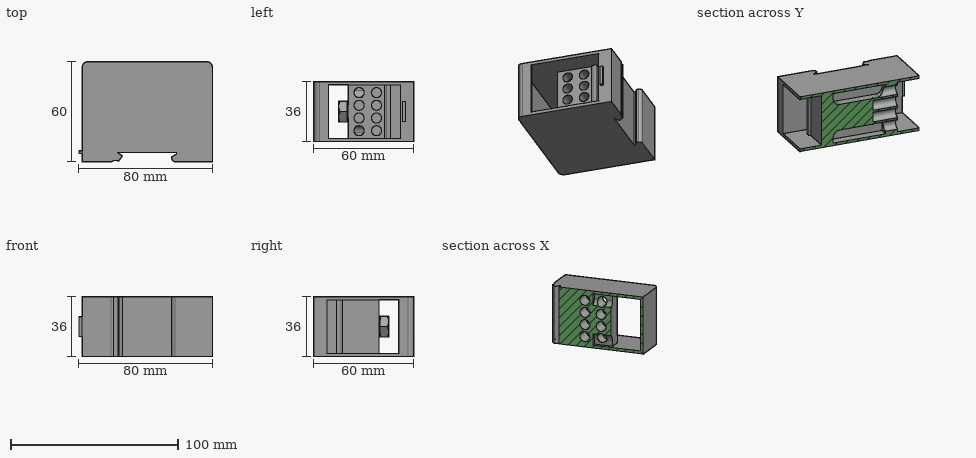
import cadquery as cq
import math


length, depth, height = 78.0, 60.0, 36.0
back_corner_radius = 3.5
end_x = length / 2

wall_z = 2.0
frame_thickness = 1.3
back_wall = 2.0
opening_bottom, opening_top = 8.1, 51.0
cavity_height = height - 2 * wall_z

recess_depth = 5.5
recess_start = -end_x + 21.1
recess_end = -end_x + 56.3
tooth_tip = (-end_x + 24.2, 3.4)
tooth_toe = (-end_x + 21.4, 0.2)
tooth_heel = (-end_x + 21.9, 0.6)
relief_start = -end_x + 17.4
relief_arc_run = 1.4
relief_height = 0.6
hook_x = -end_x + 53.6
hook_arc_run, hook_arc_rise = 1.9, 1.7
hook_top = 3.0
hook_neck = 4.6

tab_length, tab_thickness, tab_width = 2.0, 1.8, 12.0
tab_bottom = 4.9

block_length = 50.0
block_bottom, block_top = 17.4, 39.3
hole_diameter, hole_depth = 6.0, 16.0
flange_thickness = 8.0
hole_pitch, holes_per_row = 7.6, 4
hole_rows = (22.3, 32.7)
neck_width = 17.0
neck_fillet = 4.0
neck_bottom = sum(hole_rows) / 2
neck_length = block_length - 2 * flange_thickness

ledge_bottom = 13.8
ledge_overhang = 1.0
ledge_radius = 1.0
pedestal_inset = 2.0

bolt_across_flats, bolt_head_height = 12.6, 5.2
bolt_shank_diameter = 8.0
bolt_head_gap = 0.6
bolt_chamfer_inset = 0.2
bolt_chamfer_angle = math.radians(45)


def centred_box(size_x, bottom, top, size_z):
    """Box centred in X and Z, spanning bottom to top in Y."""
    return cq.Workplane("XY").box(size_x, top - bottom, size_z).translate((0, (bottom + top) / 2, 0))


def rounding_middle(flat_end, run, rise):
    """Middle of an arc that leaves Y = 0 tangentially at X = flat_end, going run along X and rise up."""
    sweep = 2 * math.atan(rise / abs(run))
    radius = abs(run) / math.sin(sweep)
    offset = math.copysign(radius * math.sin(sweep / 2), run)
    return flat_end + offset, radius * (1 - math.cos(sweep / 2))


def make_rail_recess():
    relief_flat_start = relief_start + relief_arc_run
    hook_flat_end = hook_x + hook_arc_run
    outline = (
        cq.Workplane("XY", origin=(0, 0, -height / 2))
        .moveTo(relief_start, 0)
        .threePointArc(
            rounding_middle(relief_start, relief_arc_run, relief_height),
            (relief_flat_start, relief_height),
        )
        .lineTo(tooth_toe[0], relief_height)
        .lineTo(*tooth_toe)
        .lineTo(*tooth_heel)
        .lineTo(*tooth_tip)
        .lineTo(recess_start, recess_depth)
        .lineTo(recess_end, recess_depth)
        .lineTo(recess_end, hook_neck)
        .lineTo(hook_x, hook_top)
        .lineTo(hook_x, hook_arc_rise)
        .threePointArc(
            rounding_middle(hook_flat_end, -hook_arc_run, hook_arc_rise),
            (hook_flat_end, 0),
        )
        .close()
    )
    return outline.extrude(height)


def make_housing():
    body = centred_box(length, 0, depth, height).edges("|Z and >Y").fillet(back_corner_radius)
    opening = centred_box(length, opening_bottom, opening_top, cavity_height)
    cavity = centred_box(length - 2 * frame_thickness, opening_bottom, depth - back_wall, cavity_height)
    tab = cq.Workplane("XY").box(tab_length, tab_thickness, tab_width)
    tab = tab.translate((-end_x - tab_length / 2, tab_bottom + tab_thickness / 2, 0))
    return body.cut(opening).cut(cavity).cut(make_rail_recess()).union(tab)


def make_block():
    block = centred_box(block_length, block_bottom, block_top, cavity_height)
    for side in (-1, 1):
        notch_outer, notch_inner = cavity_height / 2 + neck_fillet, neck_width / 2
        notch = centred_box(neck_length, neck_bottom, block_top, notch_outer - notch_inner)
        notch = notch.edges("|Y").fillet(neck_fillet)
        block = block.cut(notch.translate((0, 0, side * (notch_inner + notch_outer) / 2)))
    for row in hole_rows:
        for index in range(holes_per_row):
            z = (index - (holes_per_row - 1) / 2) * hole_pitch
            start = cq.Vector(-block_length / 2, row, z)
            drill = cq.Solid.makeCylinder(hole_diameter / 2, hole_depth, start, cq.Vector(1, 0, 0))
            block = block.cut(cq.Workplane(drill))
    return block


def make_pedestal():
    ledge_length = block_length + 2 * ledge_overhang
    ledge = centred_box(ledge_length, ledge_bottom, block_bottom, cavity_height)
    ledge = ledge.edges("|Z and >Y").fillet(ledge_radius)
    foot = centred_box(block_length - 2 * pedestal_inset, opening_bottom, ledge_bottom, cavity_height)
    return ledge.union(foot)


def make_bolt():
    head_bottom = block_top + bolt_head_gap
    flat_radius = bolt_across_flats / 2
    corner_radius = flat_radius / math.cos(math.pi / 6)
    head_plane = cq.Workplane("XZ", origin=(0, head_bottom, 0))
    head = head_plane.polygon(6, 2 * corner_radius).extrude(-bolt_head_height)
    cone_top = flat_radius - bolt_chamfer_inset
    cone_base = cone_top + bolt_head_height / math.tan(bolt_chamfer_angle)
    cone = cq.Solid.makeCone(
        cone_base, cone_top, bolt_head_height, cq.Vector(0, head_bottom, 0), cq.Vector(0, 1, 0)
    )
    head = head.intersect(cq.Workplane(cone))
    shank = cq.Workplane("XZ", origin=(0, block_top, 0)).circle(bolt_shank_diameter / 2).extrude(-bolt_head_gap)
    return head.union(shank)


result = make_housing().union(make_pedestal()).union(make_block()).union(make_bolt())